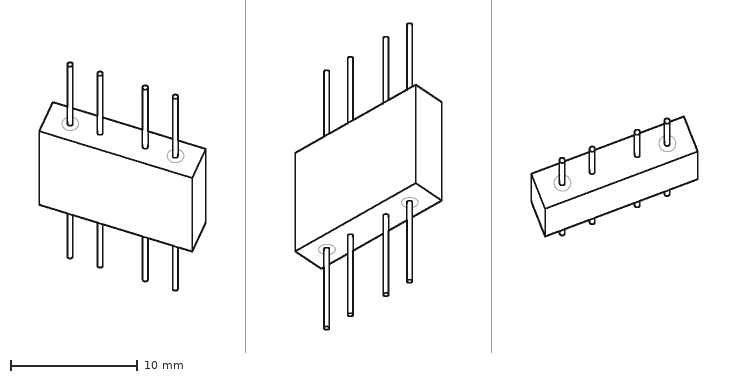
import cadquery as cq

BODY_WIDTH = 12.95
BODY_DEPTH = 3.05
BODY_HEIGHT = 9.9

LEAD_LENGTH = 25.76
LEAD_DIAMETER = 0.44
OUTER_LEAD_OFFSET = 4.45
INNER_LEAD_OFFSET = 1.91
LEAD_ROW_Y = 0.04

SEAL_DIAMETER = 1.32

OUTER_LEADS = [(-OUTER_LEAD_OFFSET, LEAD_ROW_Y), (OUTER_LEAD_OFFSET, LEAD_ROW_Y)]
INNER_LEADS = [(-INNER_LEAD_OFFSET, LEAD_ROW_Y), (INNER_LEAD_OFFSET, LEAD_ROW_Y)]


def make_body():
    return cq.Workplane("XY").box(BODY_WIDTH, BODY_DEPTH, BODY_HEIGHT)


def make_rods(positions, diameter, length):
    """Vertical round rods centred on the XY plane."""
    return cq.Workplane("XY").pushPoints(positions).circle(diameter / 2).extrude(length / 2, both=True)


seals = make_rods(OUTER_LEADS, SEAL_DIAMETER, BODY_HEIGHT)
leads = make_rods(OUTER_LEADS + INNER_LEADS, LEAD_DIAMETER, LEAD_LENGTH)

result = make_body().union(seals, clean=False).union(leads, clean=False)